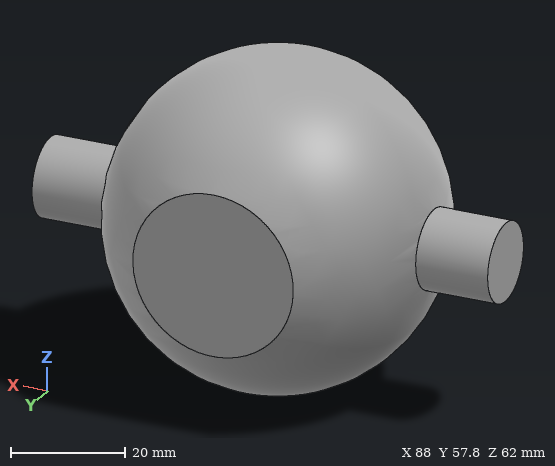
import cadquery as cq
import math

ball_diameter = 62.0
flat_diameter = 31.0
pin_diameter = 15.0
pin_span = 88.0

ball_radius = ball_diameter / 2
flat_offset = math.sqrt(ball_radius**2 - (flat_diameter / 2) ** 2)


def flattened_ball():
    """Ball centred on the origin, cut off flat on its +Y side."""
    depth = ball_radius + flat_offset
    keep = cq.Workplane("XY").box(ball_diameter, depth, ball_diameter)
    keep = keep.translate((0, flat_offset - depth / 2, 0))
    return cq.Workplane("XY").sphere(ball_radius).intersect(keep)


def cross_pin():
    """Round pin along X, passing through the ball centre."""
    return cq.Workplane("YZ").circle(pin_diameter / 2).extrude(pin_span / 2, both=True)


result = flattened_ball().union(cross_pin())